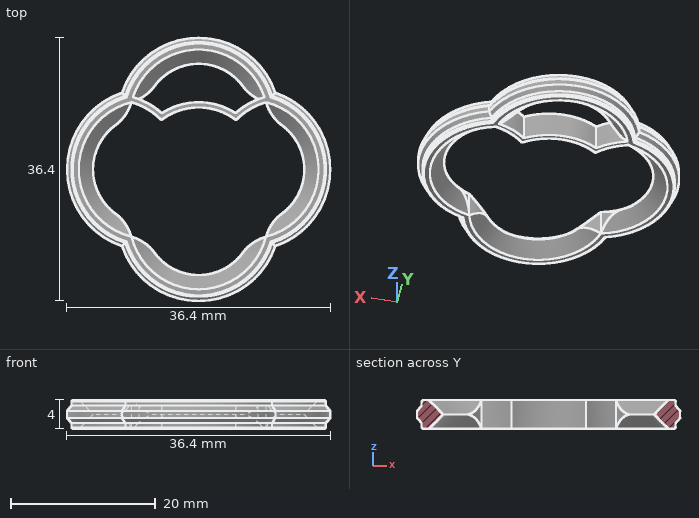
import cadquery as cq
import math

height = 4.0
mid_height = height / 2
lobe_offset = 7.0
lobe_angles = (0, 90, 180, 270)

bead_radius = 11.19
wall_radius = 10.6
rim_chamfer = 0.2
bead_crest_half_height = 0.5
bead_base_half_height = 1.2

rim_inner_radius = 9.56
waist_radius = 7.58

relief_wall_radius = 6.15
relief_end_far = 11.4
relief_end_near = 6.15

divider_thickness = 0.76
centre_arc_radius = 8.55
side_arc_radius = 9.0
side_arc_x = 11.65
side_arc_y = 0.57


def diagonal_meeting(radius):
    """X (and Y) where circles of two neighbouring lobes cross on the diagonal."""
    return (lobe_offset + math.sqrt(2 * radius**2 - lobe_offset**2)) / 2


def revolve_section(points):
    """Revolve an (r, z) section about the Z axis."""
    return cq.Workplane("XZ").polyline(points).close().revolve(360, (0, 0, 0), (0, 1, 0))


def join_lobes(lobe):
    """Place one lobe at each of the four lobe centres and fuse them."""
    placed = [lobe.translate((lobe_offset, 0, 0)).rotate((0, 0, 0), (0, 0, 1), a) for a in lobe_angles]
    joined = placed[0]
    for other in placed[1:]:
        joined = joined.union(other)
    return joined


def outer_body():
    chamfer_radius = wall_radius - rim_chamfer
    return join_lobes(revolve_section([
        (0, 0),
        (chamfer_radius, 0),
        (wall_radius, rim_chamfer),
        (wall_radius, mid_height - bead_base_half_height),
        (bead_radius, mid_height - bead_crest_half_height),
        (bead_radius, mid_height + bead_crest_half_height),
        (wall_radius, mid_height + bead_base_half_height),
        (wall_radius, height - rim_chamfer),
        (chamfer_radius, height),
        (0, height),
    ]))


def lobe_openings():
    return join_lobes(revolve_section([
        (0, 0),
        (rim_inner_radius, 0),
        (waist_radius, mid_height),
        (rim_inner_radius, height),
        (0, height),
    ]))


def turned_clockwise(x, y, angle):
    """Point turned clockwise about the Z axis by an angle in degrees."""
    turn_cos = math.cos(math.radians(angle))
    turn_sin = math.sin(math.radians(angle))
    return (x * turn_cos + y * turn_sin, y * turn_cos - x * turn_sin)


def corner_relief():
    """Central prism whose corners reach the inner meeting points of the lobes."""
    corner = diagonal_meeting(rim_inner_radius)
    outline = cq.Workplane("XY").moveTo(corner, corner)
    for angle in lobe_angles:
        wall_end = turned_clockwise(relief_end_far, relief_end_near, angle)
        next_wall_start = turned_clockwise(relief_end_far, -relief_end_near, angle)
        next_corner = turned_clockwise(corner, -corner, angle)
        outline = (
            outline.radiusArc(wall_end, -relief_wall_radius)
            .lineTo(*next_wall_start)
            .radiusArc(next_corner, -relief_wall_radius)
        )
    return outline.close().extrude(height)


def scallop_area(growth):
    """Three overlapping discs whose upper edge is the scalloped line."""
    area = cq.Workplane("XY").circle(centre_arc_radius + growth).extrude(height)
    for side in (-1, 1):
        disc = (
            cq.Workplane("XY")
            .center(side * side_arc_x, side_arc_y)
            .circle(side_arc_radius + growth)
            .extrude(height)
        )
        area = area.union(disc)
    return area


def divider():
    """Scalloped strip spanning the base of the +Y lobe, ending inside the wall."""
    half_span = diagonal_meeting((rim_inner_radius + wall_radius) / 2)
    window_depth = centre_arc_radius
    window = (
        cq.Workplane("XY")
        .rect(2 * half_span, window_depth)
        .extrude(height)
        .translate((0, window_depth, 0))
    )
    return scallop_area(divider_thickness).cut(scallop_area(0)).intersect(window)


result = outer_body().cut(lobe_openings()).cut(corner_relief()).union(divider())